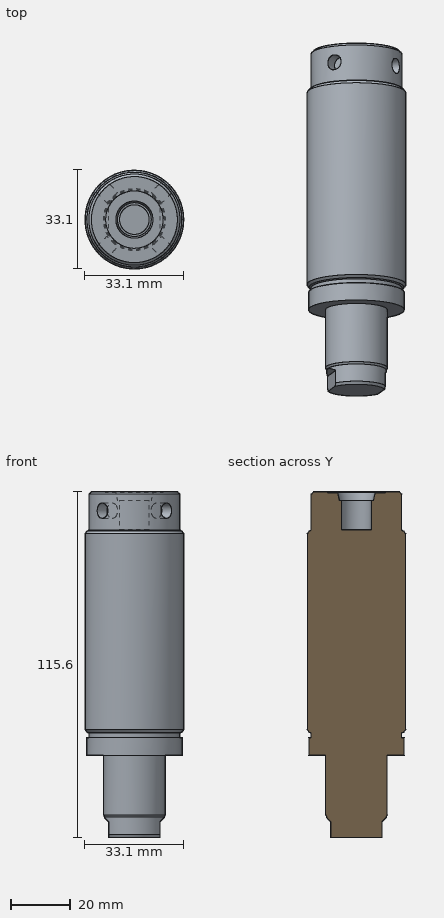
import cadquery as cq
import math

height = 115.57

stem_radius = 10.36
tip_radius = 10.0
tip_height = 6.85
stem_bevel_height = 0.75
tip_chamfer_height = 1.0
tip_chamfer_width = 0.4

flat_offset = 8.62
flat_height = 5.25

flange_radius = 16.0
flange_bottom = 27.45
flange_top = 33.4
neck_radius = 15.24
body_radius = 33.07 / 2
body_bottom = 34.85
body_top = 102.75
body_chamfer_height = 0.9
body_chamfer_width = 0.7
body_end_rise = 0.3

cap_radius = neck_radius
cap_chamfer = 0.85

recess_radius = 9.6
recess_depth = 0.3
mouth_top_radius = 6.2
mouth_bottom_radius = 5.65
mouth_depth = 2.9
bore_radius = 4.95
bore_depth = 12.7

hole_count = 4
hole_diameter = 5.08
hole_depth = 4.8
hole_drop = 6.35
first_hole_angle = 45


def turned_body():
    """Revolve the outside profile about the Z axis."""
    shoulder_radius = body_radius - body_chamfer_width
    profile = [
        (0, 0),
        (tip_radius - tip_chamfer_width, 0),
        (tip_radius, tip_chamfer_height),
        (tip_radius, tip_height),
        (stem_radius, tip_height + stem_bevel_height),
        (stem_radius, flange_bottom),
        (flange_radius, flange_bottom),
        (flange_radius, flange_top),
        (neck_radius, flange_top),
        (neck_radius, body_bottom),
        (shoulder_radius, body_bottom + body_end_rise),
        (body_radius, body_bottom + body_end_rise + body_chamfer_height),
        (body_radius, body_top - body_end_rise - body_chamfer_height),
        (shoulder_radius, body_top - body_end_rise),
        (cap_radius, body_top),
        (cap_radius, height - cap_chamfer),
        (cap_radius - cap_chamfer, height),
        (0, height),
    ]
    return cq.Workplane("XZ").polyline(profile).close().revolve(360, (0, 0), (0, 1))


def top_pocket(radius, depth):
    """Round blind pocket sunk from the top face."""
    return cq.Workplane("XY").workplane(offset=height - depth).circle(radius).extrude(depth)


def tapered_mouth():
    """Conical cutter that narrows downward from the recess floor."""
    profile = [
        (0, height - mouth_depth),
        (mouth_bottom_radius, height - mouth_depth),
        (mouth_top_radius, height - recess_depth),
        (0, height - recess_depth),
    ]
    return cq.Workplane("XZ").polyline(profile).close().revolve(360, (0, 0), (0, 1))


def wrench_flat(side):
    """Cutter for one flat; side is -1 or +1 along X."""
    reach = 2 * (stem_radius - flat_offset)
    outline = [
        (side * flat_offset, 0),
        (side * flat_offset, flat_height),
        (side * (flat_offset + reach), flat_height + reach),
        (side * (flat_offset + reach), 0),
    ]
    return cq.Workplane("XZ").polyline(outline).close().extrude(stem_radius, both=True)


def spanner_hole(angle):
    """Cutter for one radial blind hole in the cap."""
    direction = cq.Vector(math.cos(math.radians(angle)), math.sin(math.radians(angle)), 0)
    start = direction * (cap_radius - hole_depth) + cq.Vector(0, 0, height - hole_drop)
    length = 2 * hole_depth
    return cq.Workplane(cq.Solid.makeCylinder(hole_diameter / 2, length, start, direction))


result = turned_body()

result = result.cut(top_pocket(recess_radius, recess_depth))
result = result.cut(tapered_mouth())
result = result.cut(top_pocket(bore_radius, bore_depth))

for side in (-1, 1):
    result = result.cut(wrench_flat(side))

for index in range(hole_count):
    result = result.cut(spanner_hole(first_hole_angle + index * 360 / hole_count))